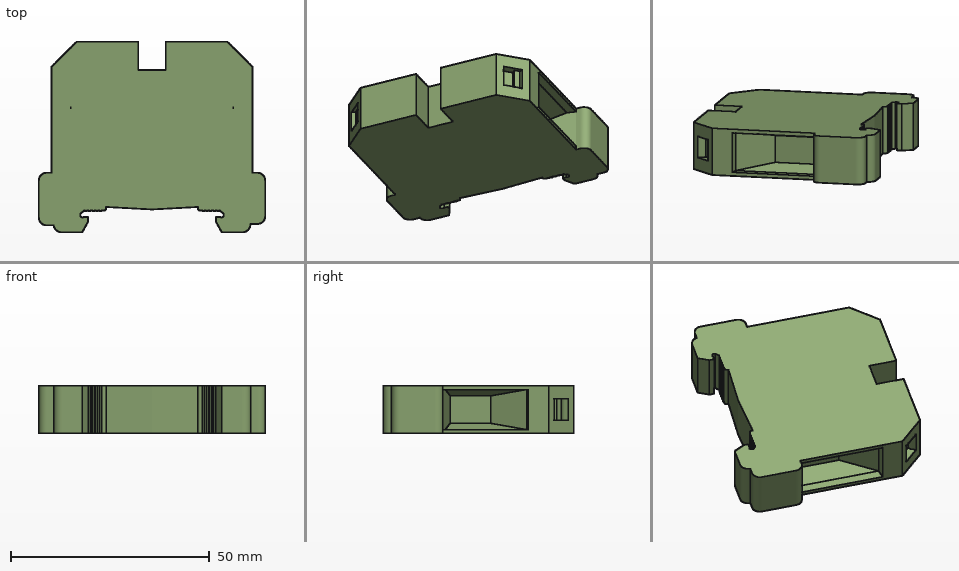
import cadquery as cq
import math

length = 57.0
height = 48.0
thickness = 12.0
half_length = length / 2

body_half_width = 25.3
top_chamfer = 6.3
notch_width = 6.9
notch_depth = 7.05

shoulder_y = 15.05
foot_radius = 2.0
pad_half_width = 22.7
pad_radius = 2.1
left_ledge_y = 1.75
right_ledge_y = pad_radius

hook_base_x = 17.55
hook_tip_x = 16.1
hook_tip_low_y = 2.7
hook_tip_high_y = 3.95
hook_tip_radius = 0.2
undercut_mouth_x = 17.1
undercut_deep_x = 17.95
undercut_deep_y = 4.75
undercut_round_x = 17.7
undercut_round_y = 3.9

grip_y = 5.5
ridge_count = 5
ridge_pitch = 0.9
ridge_width = 0.5
ridge_height = 0.14
first_ridge_x = 16.6
underside_half_width = 11.5
underside_end_y = 6.4
underside_middle_y = 5.75
underside_corner_radius = 0.6

mouth_top_y = 36.5
throat_top_y = 36.1
floor_top_y = 27.1
floor_bottom_y = 16.9
mouth_height = 10.1
floor_height = 6.9
mouth_depth = 2.35
pocket_depth = 7.2
throat_bottom_y = shoulder_y + (floor_bottom_y - shoulder_y) * mouth_depth / pocket_depth

recess_length = 5.0
recess_height = 5.4
recess_step_depth = 0.95
recess_draft = math.radians(22)
recess_bore_edge = 0.75
recess_bulge_radius = 1.4
recess_bulge_end = math.radians(-28)


def half_body(ledge_y):
    """The half of the body on the -X side, with its foot ledge at ledge_y."""
    arc_dip = foot_radius * (1 - math.sqrt(0.5))
    pad_side_x = pad_half_width + math.sqrt(pad_radius**2 - (pad_radius - ledge_y) ** 2)
    pad_mid_angle = (math.pi / 2 + math.asin((pad_radius - ledge_y) / pad_radius)) / 2
    pad_mid = (
        -pad_half_width - pad_radius * math.cos(pad_mid_angle),
        pad_radius - pad_radius * math.sin(pad_mid_angle),
    )

    outline = (
        cq.Workplane("XY")
        .moveTo(0, height - notch_depth)
        .lineTo(-notch_width / 2, height - notch_depth)
        .lineTo(-notch_width / 2, height)
        .lineTo(-body_half_width + top_chamfer, height)
        .lineTo(-body_half_width, height - top_chamfer)
        .lineTo(-body_half_width, shoulder_y)
        .lineTo(-half_length + foot_radius, shoulder_y)
        .threePointArc(
            (-half_length + arc_dip, shoulder_y - arc_dip),
            (-half_length, shoulder_y - foot_radius),
        )
        .lineTo(-half_length, ledge_y + foot_radius)
        .threePointArc(
            (-half_length + arc_dip, ledge_y + arc_dip),
            (-half_length + foot_radius, ledge_y),
        )
        .lineTo(-pad_side_x, ledge_y)
        .threePointArc(pad_mid, (-pad_half_width, 0))
        .lineTo(-hook_base_x, 0)
        .lineTo(-hook_tip_x, hook_tip_low_y)
        .lineTo(-hook_tip_x, hook_tip_high_y - hook_tip_radius)
        .radiusArc((-hook_tip_x - hook_tip_radius, hook_tip_high_y), -hook_tip_radius)
        .lineTo(-undercut_mouth_x, hook_tip_high_y)
        .threePointArc(
            (-undercut_round_x, undercut_round_y),
            (-undercut_deep_x, undercut_deep_y),
        )
        .lineTo(-undercut_mouth_x, grip_y)
    )
    for index in range(ridge_count):
        ridge_x = -first_ridge_x + index * ridge_pitch
        outline = (
            outline.lineTo(ridge_x - ridge_width / 2, grip_y)
            .threePointArc((ridge_x, grip_y - ridge_height), (ridge_x + ridge_width / 2, grip_y))
        )
    outline = (
        outline.lineTo(-underside_half_width - underside_corner_radius, grip_y)
        .radiusArc(
            (-underside_half_width, grip_y + underside_corner_radius),
            -underside_corner_radius,
        )
        .lineTo(-underside_half_width, underside_end_y)
        .lineTo(0, underside_middle_y)
        .close()
    )
    return outline.extrude(thickness)


def pocket_section(depth, bottom_y, top_y, opening):
    """Rectangle across the wire entry, at a depth below the -X side face."""
    plane = cq.Plane(
        origin=(-body_half_width + depth, (bottom_y + top_y) / 2, thickness / 2),
        xDir=(0, 1, 0),
        normal=(1, 0, 0),
    )
    return cq.Workplane(plane).rect(top_y - bottom_y, opening).wires().val()


def wire_entry():
    """Pocket in the side face: straight-sided mouth with drafted ends, then a funnel."""
    mouth = pocket_section(0, shoulder_y, mouth_top_y, mouth_height)
    throat = pocket_section(mouth_depth, throat_bottom_y, throat_top_y, mouth_height)
    floor = pocket_section(pocket_depth, floor_bottom_y, floor_top_y, floor_height)
    mouth_part = cq.Solid.makeLoft([mouth, throat], True)
    funnel_part = cq.Solid.makeLoft([throat, floor], True)
    return cq.Workplane(mouth_part).union(cq.Workplane(funnel_part))


def chamfer_recess():
    """Drafted recess in the chamfer; its upper wall bulges so the bore widens inward."""
    plane = cq.Plane(
        origin=(-body_half_width + top_chamfer / 2, height - top_chamfer / 2, thickness / 2),
        xDir=(-1, -1, 0),
        normal=(0, 0, 1),
    )
    mouth_half = recess_length / 2
    step_half = mouth_half - recess_step_depth * math.tan(recess_draft)

    def bulge_point(angle):
        """Point where the upper wall leans inward from the recess axis by angle."""
        return (
            -step_half + recess_bulge_radius * (math.cos(angle) - math.cos(recess_draft)),
            recess_step_depth + recess_bulge_radius * (math.sin(recess_draft) - math.sin(angle)),
        )

    bulge_middle = bulge_point((recess_draft + recess_bulge_end) / 2)
    bulge_end = bulge_point(recess_bulge_end)
    bore_depth = bulge_end[1]
    return (
        cq.Workplane(plane)
        .moveTo(-mouth_half, 0)
        .lineTo(-step_half, recess_step_depth)
        .threePointArc(bulge_middle, bulge_end)
        .lineTo(recess_bore_edge, bore_depth)
        .lineTo(recess_bore_edge, recess_step_depth)
        .lineTo(step_half, recess_step_depth)
        .lineTo(mouth_half, 0)
        .close()
        .extrude(recess_height / 2, both=True)
    )


def half_block(ledge_y):
    """The half on the -X side with its pocket and recess."""
    return half_body(ledge_y).cut(wire_entry()).cut(chamfer_recess())


left_half = half_block(left_ledge_y)
right_half = half_block(right_ledge_y).mirror("YZ")
result = left_half.union(right_half, clean=True)